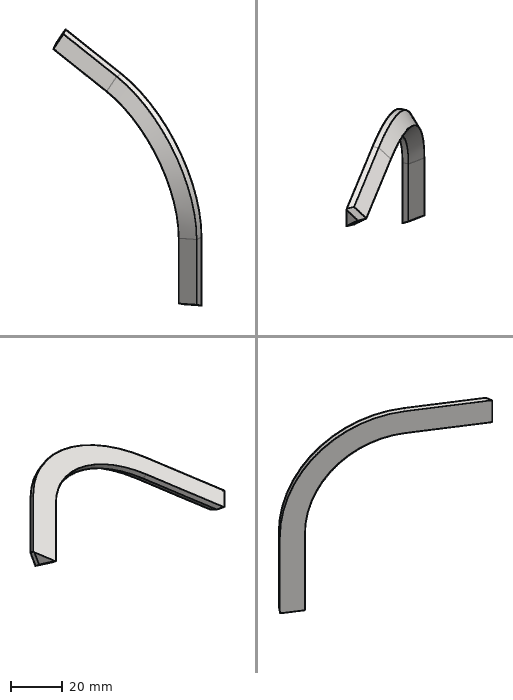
import cadquery as cq
import math

overall = 85.0
bar_width = 10.0
bar_depth = 7.5
outer_radius = 50.0
bevel = 2.0

half_width = bar_width / 2
side_depth = bar_depth - half_width
leg_length = overall - outer_radius
end_reach = bar_depth - bevel * math.sqrt(2)
shank_length = leg_length - bevel
center_radius = outer_radius - half_width
bend_center = overall / 2 - outer_radius
back = bar_depth / 2


def bar_section():
    """House-shaped section at the start of the bend, drawn on a plane facing -X."""
    plane = cq.Plane(origin=(0, back, center_radius), xDir=(0, 0, 1), normal=(-1, 0, 0))
    return cq.Workplane(plane).polyline([
        (-half_width, 0),
        (half_width, 0),
        (half_width, -side_depth),
        (0, -bar_depth),
        (-half_width, -side_depth),
    ]).close()


def diamond(workplane, reach):
    """Square standing on its corner, centred on the flat back."""
    return workplane.polyline([(reach, 0), (0, reach), (-reach, 0), (0, -reach)]).close()


def straight_leg():
    """Leg running toward -X, with bevels on the two slanted faces at its tip."""
    shank = bar_section().extrude(shank_length)
    tip_plane = cq.Plane(
        origin=(-shank_length, back, center_radius), xDir=(0, 0, 1), normal=(-1, 0, 0)
    )
    frustum = diamond(cq.Workplane(tip_plane), bar_depth)
    frustum = diamond(frustum.workplane(offset=bevel), end_reach).loft(ruled=True)
    tip = bar_section().extrude(leg_length).intersect(frustum)
    return shank.union(tip)


def bend():
    """Quarter turn about the Y axis, from the +Z side to the +X side."""
    return bar_section().revolve(90, (-center_radius, 0), (-center_radius, 1))


upper_leg = straight_leg()
lower_leg = upper_leg.mirror("YZ").rotate((0, 0, 0), (0, 1, 0), 90)

result = bend().union(upper_leg).union(lower_leg).clean()
result = result.translate((bend_center, 0, bend_center))